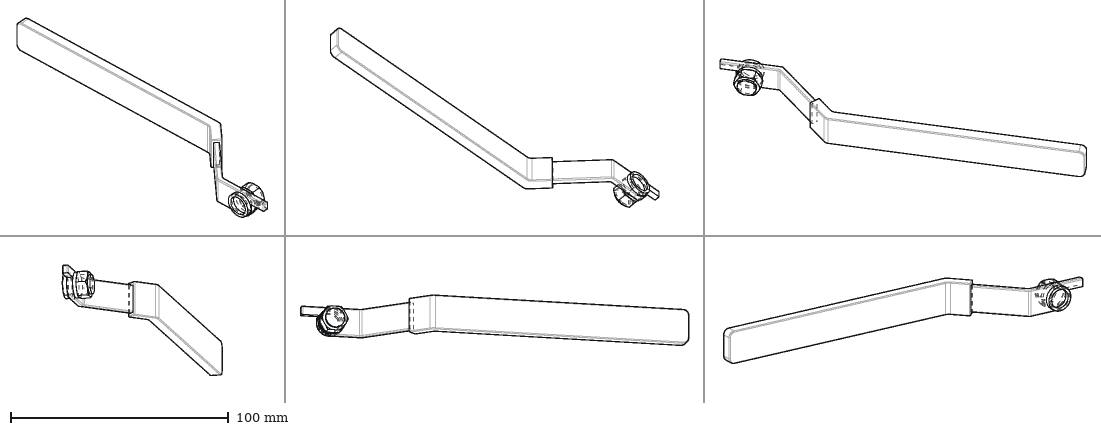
import cadquery as cq
import math

length = 176.0
overall_depth = 33.6

grip_thickness = 5.3
grip_height = 16.0
grip_bend_x = 120.0
grip_slope_run = 8.3
grip_corner_radius = 2.8
grip_bend_radius = 3.2
grip_edge_radius = 0.44

arm_thickness = 2.8
arm_height = 13.0
arm_bend_radius = 1.5
arm_edge_radius = 0.5
bend_angle = math.radians(45)

tab_height = 4.0

stud_x = 162.0
stud_diameter = 12.0
stud_foot = 2.1
recess_diameter = 9.0
recess_depth = 2.0
collar_height = 1.5
nut_across_corners = 13.0
nut_chamfer = 0.7
tip_diameter = 9.0
tip_height = 1.0
stud_length = 12.7
nut_height = stud_length - stud_foot - arm_thickness - collar_height - tip_height

grip_y = overall_depth - grip_thickness / 2
arm_y = stud_foot + arm_thickness / 2
arm_bend_x = grip_bend_x + (grip_y - arm_y) / math.tan(bend_angle)
grip_end = (grip_bend_x + grip_slope_run, grip_y - grip_slope_run * math.tan(bend_angle))


def bent_strip(level_end, bend, slope_end, thickness, height, bend_radius):
    """Strip with one level leg and one sloped leg, extruded symmetrically about Z = 0."""
    half = thickness / 2
    miter = half * math.tan(bend_angle / 2)
    normal_x = half * math.sin(bend_angle)
    normal_y = half * math.cos(bend_angle)
    outline = [
        (level_end[0], level_end[1] + half),
        (bend[0] + miter, bend[1] + half),
        (slope_end[0] + normal_x, slope_end[1] + normal_y),
        (slope_end[0] - normal_x, slope_end[1] - normal_y),
        (bend[0] - miter, bend[1] - half),
        (level_end[0], level_end[1] - half),
    ]
    strip = cq.Workplane("XY").polyline(outline).close().extrude(height / 2, both=True)
    for side in (1, -1):
        corner = (bend[0] + side * miter, bend[1] + side * half, 0)
        strip = strip.edges(cq.selectors.NearestToPointSelector(corner)).fillet(bend_radius)
    return strip


def make_grip():
    grip = bent_strip((0, grip_y), (grip_bend_x, grip_y), grip_end,
                      grip_thickness, grip_height, grip_bend_radius)
    grip = grip.faces("<X").edges("|Y").fillet(grip_corner_radius)
    side_edges = grip.faces(">Z or <Z").edges("|X")
    mouth = grip.faces(cq.selectors.NearestToPointSelector((*grip_end, 0)))
    return mouth.edges().add(side_edges).fillet(grip_edge_radius)


def make_end_cut():
    """Material removed below the tab and outside the rounded end around the stud."""
    round_radius = arm_height / 2
    tab_bottom = round_radius - tab_height
    back = cq.Workplane("XZ", origin=(stud_x, arm_y + arm_thickness, 0))
    cut_depth = 2 * arm_thickness
    tab_length = length - stud_x
    cut_length = tab_length + arm_thickness
    corner_start = tab_length - arm_edge_radius
    corner_end = tab_bottom + arm_edge_radius
    block = (
        back.moveTo(0, tab_bottom)
        .lineTo(corner_start, tab_bottom)
        .radiusArc((tab_length, corner_end), -arm_edge_radius)
        .lineTo(cut_length, corner_end)
        .lineTo(cut_length, -arm_height)
        .lineTo(0, -arm_height)
        .close()
        .extrude(cut_depth)
    )
    return block.cut(back.circle(round_radius).extrude(cut_depth))


def make_arm():
    arm = bent_strip((length, arm_y), (arm_bend_x, arm_y), grip_end,
                     arm_thickness, arm_height, arm_bend_radius)
    long_edges = arm.faces(">Z or <Z").edges("|X")
    arm = arm.faces(">X").edges().add(long_edges).fillet(arm_edge_radius)
    return arm.cut(make_end_cut())


def cylinder(diameter, start_y, height):
    """Round section on the stud axis, growing toward +Y."""
    return (
        cq.Workplane("XZ", origin=(stud_x, start_y, 0))
        .circle(diameter / 2)
        .extrude(-height)
    )


def make_nut(start_y):
    """Hexagon with its far corners bevelled."""
    hexagon = (
        cq.Workplane("XZ", origin=(stud_x, start_y, 0))
        .polygon(6, nut_across_corners)
        .extrude(-nut_height)
    )
    envelope = cylinder(nut_across_corners, start_y, nut_height).faces(">Y").chamfer(nut_chamfer)
    return hexagon.intersect(envelope)


def make_stud():
    shank_height = stud_foot + arm_thickness + collar_height
    nut_top = shank_height + nut_height
    stud = cylinder(stud_diameter, 0, shank_height)
    stud = stud.union(make_nut(shank_height))
    stud = stud.union(cylinder(tip_diameter, nut_top, tip_height))
    return stud.cut(cylinder(recess_diameter, 0, recess_depth))


result = make_grip().union(make_arm()).union(make_stud())